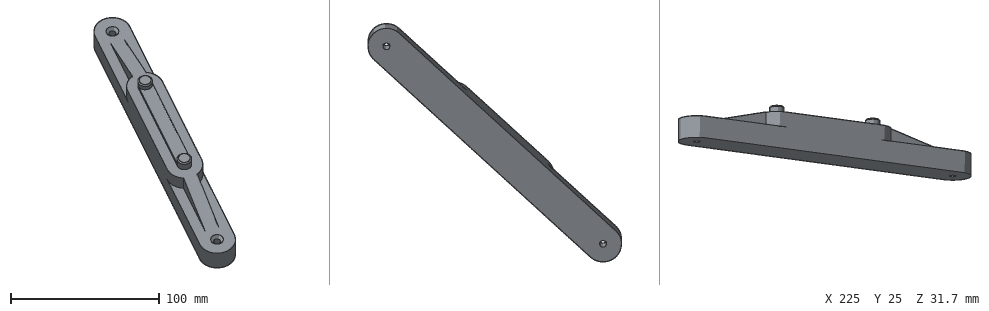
import cadquery as cq

base_length = 225
width = 25.0
base_height = 15.0
base_hole_x = (base_length - width) / 2

block_length = 100.0
block_top = 25.5
pin_x = (block_length - width) / 2

pin_diameter = 10.0
rib_width = pin_diameter
pin_top = 31.7
pin_chamfer = 1.0
rail_top = 27.5
rib_foot_x = 90

hole_diameter = 4.5
countersink_diameter = 8.5
countersink_angle = 90


def round_ended_bar(length, height):
    return cq.Workplane("XY").slot2D(length, width).extrude(height)


def ribs():
    """One trapezoid whose sloping ends descend from the block to the base."""
    return (
        cq.Workplane("XZ")
        .moveTo(-rib_foot_x, base_height)
        .lineTo(-block_length / 2, block_top)
        .lineTo(block_length / 2, block_top)
        .lineTo(rib_foot_x, base_height)
        .close()
        .extrude(rib_width / 2, both=True)
    )


def rail():
    """Low strip running between the pin centres."""
    return (
        cq.Workplane("XY", origin=(0, 0, block_top))
        .rect(2 * pin_x, rib_width)
        .extrude(rail_top - block_top)
    )


def pins():
    return (
        cq.Workplane("XY", origin=(0, 0, block_top))
        .pushPoints([(-pin_x, 0), (pin_x, 0)])
        .circle(pin_diameter / 2)
        .extrude(pin_top - block_top)
        .faces(">Z")
        .chamfer(pin_chamfer)
    )


body = (
    round_ended_bar(base_length, base_height)
    .union(round_ended_bar(block_length, block_top))
    .union(ribs())
    .union(rail())
    .union(pins())
)

result = (
    body.copyWorkplane(cq.Workplane("XY", origin=(0, 0, base_height)))
    .pushPoints([(-base_hole_x, 0), (base_hole_x, 0)])
    .cskHole(hole_diameter, countersink_diameter, countersink_angle, depth=base_height)
)